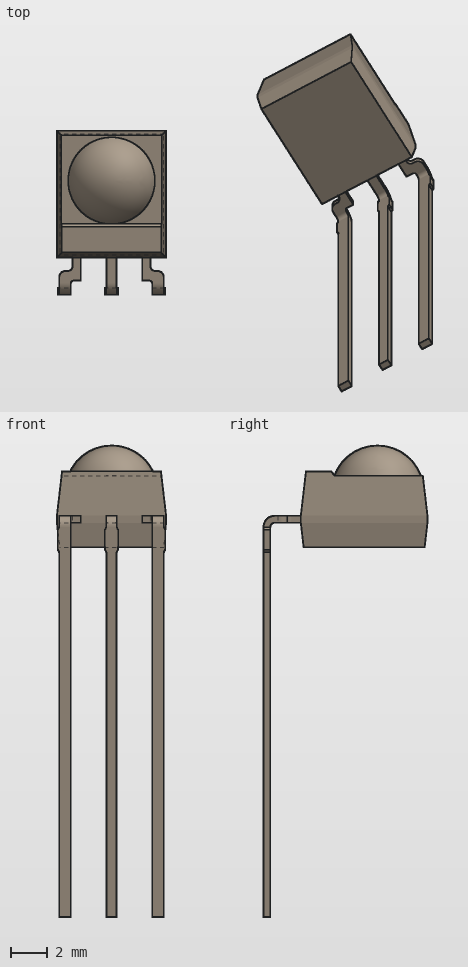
import cadquery as cq


body_width = 6.0
body_depth = 6.95
band_height = 0.4
base_height = 1.35
base_inset = 0.15
deck_height = 2.2
step_height = 0.23
top_inset = 0.28
step_foot = 1.85
step_run = 0.18
upper_height = deck_height + step_height
deck_z = band_height + deck_height

lens_radius = 2.38
lens_height = 1.65
lens_y = 4.21
sphere_radius = (lens_radius**2 + lens_height**2) / (2 * lens_height)
lens_top = deck_z + lens_height

overall_height = 25.85
lead_tip_z = lens_top - overall_height
lead_thickness = band_height
lead_reach = 2.05
bend_outer = 0.62
bend_inner = bend_outer - lead_thickness
bend_start = lead_reach - bend_outer
bend_y = -bend_start
bend_z = band_height - bend_outer
shoulder_length = 1.4
shoulder_taper = 0.15
shoulder_extra = 0.08
centre_half_width = 0.28

root_inner_x = 1.68
root_outer_x = 2.15
leg_inner_x = 2.22
leg_outer_x = 2.87
jog_start = 0.72
jog_end = 1.27
jog_corner = 0.35
root_fillet = 0.23
leg_fillet = bend_start - jog_end


def frustum(bottom_z, height, bottom_inset, end_inset):
    """Rectangular block whose walls lean between two insets of the body outline."""
    def outline(plane, inset):
        return plane.rect(body_width - 2 * inset, body_depth - 2 * inset)

    start = cq.Workplane("XY", origin=(0, body_depth / 2, bottom_z))
    lower = outline(start, bottom_inset)
    return outline(lower.workplane(offset=height), end_inset).loft(ruled=True)


def make_housing():
    base = frustum(-base_height, base_height, base_inset, 0)
    band = frustum(0, band_height, 0, 0)
    upper = frustum(band_height, upper_height, 0, top_inset)
    deck_cut = (
        cq.Workplane("YZ")
        .moveTo(step_foot, deck_z)
        .lineTo(body_depth, deck_z)
        .lineTo(body_depth, deck_z + step_height)
        .lineTo(step_foot - step_run, deck_z + step_height)
        .close()
        .extrude(body_width / 2, both=True)
    )
    lens = (
        cq.Workplane("XZ", origin=(0, lens_y, 0))
        .moveTo(0, deck_z)
        .lineTo(lens_radius, deck_z)
        .radiusArc((0, lens_top), -sphere_radius)
        .close()
        .revolve(360, (0, 0), (0, 1))
    )
    return base.union(band).union(upper.cut(deck_cut)).union(lens)


def lead_bend(left_x, right_x):
    """Quarter-turn from the horizontal root to the vertical leg."""
    return (
        cq.Workplane("YZ", origin=(left_x, 0, 0))
        .moveTo(bend_y, band_height)
        .radiusArc((-lead_reach, bend_z), -bend_outer)
        .lineTo(-lead_reach + lead_thickness, bend_z)
        .radiusArc((bend_y, 0), bend_inner)
        .close()
        .extrude(right_x - left_x)
    )


def lead_leg(left_x, right_x, left_extra, right_extra):
    """Vertical leg with a shoulder that widens it by the given amount on each side."""
    taper_top = bend_z - shoulder_taper
    shoulder_end = bend_z - shoulder_length
    taper_bottom = shoulder_end + shoulder_taper
    leg = (
        cq.Workplane("XZ", origin=(0, -lead_reach + lead_thickness, 0))
        .moveTo(left_x, lead_tip_z)
        .lineTo(right_x, lead_tip_z)
        .lineTo(right_x, bend_z)
        .lineTo(left_x, bend_z)
        .close()
        .extrude(lead_thickness)
    )
    for side_x, extra in ((left_x, -left_extra), (right_x, right_extra)):
        if extra:
            shoulder = (
                cq.Workplane("XZ", origin=(0, -lead_reach + lead_thickness, 0))
                .moveTo(side_x, bend_z)
                .lineTo(side_x + extra, taper_top)
                .lineTo(side_x + extra, taper_bottom)
                .lineTo(side_x, shoulder_end)
                .close()
                .extrude(lead_thickness)
            )
            leg = leg.union(shoulder)
    return leg


def make_centre_lead():
    left_x, right_x = -centre_half_width, centre_half_width
    root = cq.Workplane("XY").box(
        right_x - left_x, bend_start, lead_thickness, centered=(True, False, False)
    ).translate((0, bend_y, 0))
    leg = lead_leg(left_x, right_x, shoulder_extra, shoulder_extra)
    return root.union(lead_bend(left_x, right_x)).union(leg)


def make_right_lead():
    root = (
        cq.Workplane("XY")
        .moveTo(root_inner_x, 0)
        .lineTo(root_outer_x, 0)
        .lineTo(root_outer_x, -jog_start + root_fillet)
        .radiusArc((root_outer_x + root_fillet, -jog_start), -root_fillet)
        .lineTo(leg_outer_x - jog_corner, -jog_start)
        .radiusArc((leg_outer_x, -jog_start - jog_corner), jog_corner)
        .lineTo(leg_outer_x, bend_y)
        .lineTo(leg_inner_x, bend_y)
        .radiusArc((leg_inner_x - leg_fillet, -jog_end), -leg_fillet)
        .lineTo(root_inner_x, -jog_end)
        .close()
        .extrude(lead_thickness)
    )
    leg = lead_leg(leg_inner_x, leg_outer_x, 0, shoulder_extra)
    return root.union(lead_bend(leg_inner_x, leg_outer_x)).union(leg)


def make_outer_lead(side):
    """Outer lead on the +X side (side = 1) or its mirror image on the -X side (side = -1)."""
    lead = make_right_lead()
    return lead if side > 0 else lead.mirror("YZ")


housing = make_housing()
centre_lead = make_centre_lead()
outer_leads = [make_outer_lead(side) for side in (-1, 1)]

result = cq.Compound.makeCompound(
    [housing.val(), centre_lead.val(), *[lead.val() for lead in outer_leads]]
)